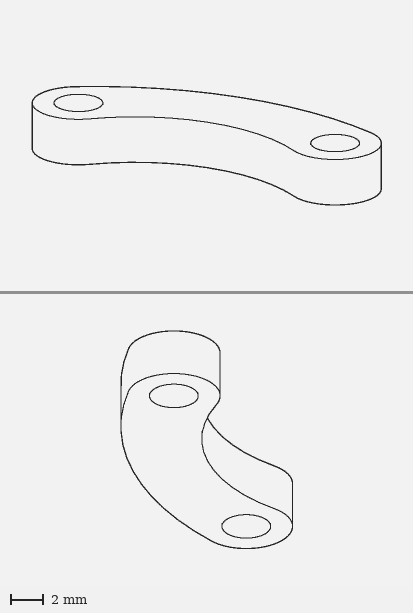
import cadquery as cq
import math

thickness = 3.0
eye_radius = 2.85
hole_diameter = 3.0
eye_spacing_x = 15.56
eye_spacing_y = 7.42
outer_edge_radius = 21.9
inner_edge_radius = 11.05

lower_eye = cq.Vector(0, 0)
upper_eye = cq.Vector(eye_spacing_x, eye_spacing_y)
eye_line = (upper_eye - lower_eye).normalized()
bow_direction = cq.Vector(-eye_line.y, eye_line.x)
eye_midpoint = (lower_eye + upper_eye) * 0.5
half_spacing = (upper_eye - lower_eye).Length / 2


def edge_center(distance_to_eyes):
    """Arc center at the given distance from both eyes, on the hollow side."""
    return eye_midpoint - bow_direction * math.sqrt(distance_to_eyes**2 - half_spacing**2)


def tangent_point(center, eye, radius):
    """Point where an arc about center touches the rim of an eye."""
    return center + (eye - center).normalized() * radius


outer_center = edge_center(outer_edge_radius - eye_radius)
inner_center = edge_center(inner_edge_radius + eye_radius)

outer_start = tangent_point(outer_center, lower_eye, outer_edge_radius)
outer_middle = outer_center + bow_direction * outer_edge_radius
outer_end = tangent_point(outer_center, upper_eye, outer_edge_radius)
inner_start = tangent_point(inner_center, upper_eye, inner_edge_radius)
inner_middle = inner_center + bow_direction * inner_edge_radius
inner_end = tangent_point(inner_center, lower_eye, inner_edge_radius)

upper_tip = upper_eye + eye_line * eye_radius
lower_tip = lower_eye - eye_line * eye_radius

link = (
    cq.Workplane("XY")
    .moveTo(outer_start.x, outer_start.y)
    .threePointArc(outer_middle, outer_end)
    .threePointArc(upper_tip, inner_start)
    .threePointArc(inner_middle, inner_end)
    .threePointArc(lower_tip, outer_start)
    .close()
    .extrude(thickness)
)

result = (
    link.faces(">Z")
    .workplane(origin=(0, 0, thickness))
    .pushPoints([lower_eye, upper_eye])
    .hole(hole_diameter)
)